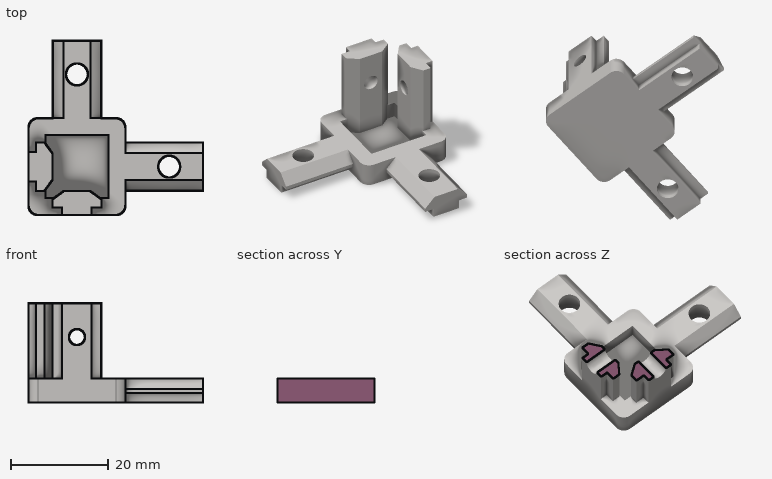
import cadquery as cq

overall = 36.0
total_height = 20.5
base_side = 20.0
base_height = 5.0
corner_radius = 2.0
center = base_side / 2

pocket_start = 3.53
pocket_side = 13.0
pocket_depth = 3.45

head_width = 10.0
stem_width = 6.1
stem_depth = 1.6
tongue_depth = base_height
post_chamfer_width = 2.35
post_chamfer_depth = 1.7
post_hole_diameter = 3.25

arm_lip_bottom = 1.98
arm_chamfer = 2.25
arm_hole_diameter = 4.45
hole_to_end = 7.0

DIAGONAL_PLANE = (1, -1, 0)


def tongue_profile(plane, head_start, chamfer_width, chamfer_depth):
    """T outline centred on the base side, growing along the second plane axis."""
    half_head = head_width / 2
    half_stem = stem_width / 2
    right_half = [
        (half_stem, 0),
        (half_stem, head_start),
        (half_head, head_start),
        (half_head, tongue_depth - chamfer_depth),
        (half_head - chamfer_width, tongue_depth),
    ]
    left_half = [(-x, y) for x, y in reversed(right_half)]
    points = [(center + x, y) for x, y in right_half + left_half]
    return cq.Workplane(plane).polyline(points).close()


def make_base():
    base = cq.Workplane("XY").box(base_side, base_side, base_height, centered=False)
    base = base.edges("|Z").fillet(corner_radius)
    pocket = (
        cq.Workplane("XY")
        .box(pocket_side, pocket_side, pocket_depth, centered=False)
        .translate((pocket_start, pocket_start, base_height - pocket_depth))
    )
    return base.cut(pocket)


def make_post():
    """Upright tongue along the Y = 0 side, with a cross hole."""
    post = tongue_profile("XY", stem_depth, post_chamfer_width, post_chamfer_depth)
    post = post.extrude(total_height)
    hole = (
        cq.Workplane("XZ")
        .center(center, total_height - hole_to_end)
        .circle(post_hole_diameter / 2)
        .extrude(-tongue_depth)
    )
    return post.cut(hole)


def make_arm():
    """Flat tongue running along X from the base, with a vertical hole."""
    arm = tongue_profile("YZ", arm_lip_bottom, arm_chamfer, arm_chamfer)
    arm = arm.extrude(overall)
    arm = arm.intersect(
        cq.Workplane("XY")
        .box(overall - base_side, base_side, base_height, centered=False)
        .translate((base_side, 0, 0))
    )
    hole = (
        cq.Workplane("XY")
        .center(overall - hole_to_end, center)
        .circle(arm_hole_diameter / 2)
        .extrude(base_height)
    )
    return arm.cut(hole)


def mirror_across_diagonal(body):
    """Return the copy of the body with X and Y swapped."""
    return cq.Workplane(body.val().mirror(cq.Vector(*DIAGONAL_PLANE)))


result = make_base()
for body in (make_post(), make_arm()):
    result = result.union(body).union(mirror_across_diagonal(body))